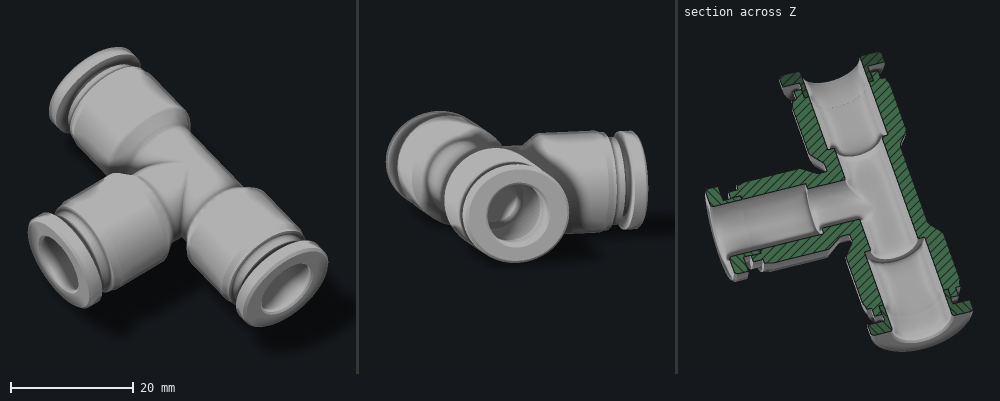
import cadquery as cq
import math

port_angles = (0, 180, -90)
port_reach = 26.7

stem_diameter = 13.0
body_diameter = 16.7
lip_diameter = 16.1
ring_diameter = 14.4
taper_start_reach = 8.0
taper_end_reach = 10.5
taper_blend = 1.0
ring_recess = 3.6
ring_end_reach = port_reach - ring_recess
ring_length = 1.65
lip_length = 0.5
lip_cone_length = 0.95
lip_end_reach = ring_end_reach - ring_length
lip_start_reach = lip_end_reach - lip_length
body_end_reach = lip_start_reach - lip_cone_length

flow_diameter = 8.0
tube_diameter = 10.2
tube_stop_reach = taper_end_reach

collar_length = 5.3
collar_bore = 10.15
neck_diameter = 11.7
flange_width = 17.5
flange_height = 16.1
flange_thickness = 2.35
flange_chamfer = 0.45
neck_root_fillet = 0.1
bore_chamfer = 0.3
flange_back_reach = port_reach - flange_thickness
collar_seat_reach = port_reach - collar_length


def cylinder(diameter, start, end):
    """Solid cylinder on the X axis between two distances from the tee centre."""
    return cq.Workplane("YZ").workplane(offset=start).circle(diameter / 2).extrude(end - start)


def point_along_port(shape, angle):
    """Turn a shape built along +X about the Z axis."""
    return shape.rotate((0, 0, 0), (0, 0, 1), angle)


def port_outside():
    """Turned outside of one port, from the tee centre to the end of the ring."""
    taper_angle = math.atan2((body_diameter - stem_diameter) / 2, taper_end_reach - taper_start_reach)
    tangent = taper_blend * math.tan(taper_angle / 2)
    along_taper = tangent * math.cos(taper_angle)
    across_taper = tangent * math.sin(taper_angle)
    stem_radius = stem_diameter / 2
    body_radius = body_diameter / 2
    return (
        cq.Workplane("XY")
        .lineTo(0, stem_radius)
        .lineTo(taper_start_reach - tangent, stem_radius)
        .tangentArcPoint((taper_start_reach + along_taper, stem_radius + across_taper), relative=False)
        .lineTo(taper_end_reach - along_taper, body_radius - across_taper)
        .tangentArcPoint((taper_end_reach + tangent, body_radius), relative=False)
        .lineTo(body_end_reach, body_radius)
        .lineTo(lip_start_reach, lip_diameter / 2)
        .lineTo(lip_end_reach, lip_diameter / 2)
        .lineTo(lip_end_reach, ring_diameter / 2)
        .lineTo(ring_end_reach, ring_diameter / 2)
        .lineTo(ring_end_reach, 0)
        .close()
        .revolve(360, (0, 0, 0), (1, 0, 0))
    )


def port_inside():
    """Flow passage, tube socket and collar seat of one port."""
    flow = cylinder(flow_diameter, 0, tube_stop_reach)
    tube_socket = cylinder(tube_diameter, tube_stop_reach, collar_seat_reach)
    collar_seat = cylinder(neck_diameter, collar_seat_reach, ring_end_reach)
    return flow.union(tube_socket).union(collar_seat)


def make_housing():
    """Tee housing: three joined ports, hollowed from each end."""
    outside = cq.Workplane("XY")
    inside = cq.Workplane("XY")
    for angle in port_angles:
        outside = outside.add(point_along_port(port_outside(), angle))
        inside = inside.add(point_along_port(port_inside(), angle))
    return outside.combine().cut(inside.combine())


def make_collar():
    """Release collar: elliptical flange and round neck with a through bore."""
    flange = (
        cq.Workplane("YZ")
        .workplane(offset=flange_back_reach)
        .ellipse(flange_width / 2, flange_height / 2)
        .extrude(flange_thickness)
        .faces(">X")
        .chamfer(flange_chamfer)
    )
    neck = cylinder(neck_diameter, collar_seat_reach, flange_back_reach)
    bore = cylinder(collar_bore, collar_seat_reach, port_reach)
    blank = flange.union(neck).edges("%CIRCLE").edges(">X").fillet(neck_root_fillet)
    return blank.cut(bore).faces(">X").edges("%CIRCLE").chamfer(bore_chamfer)


housing = make_housing()
collars = [point_along_port(make_collar(), angle) for angle in port_angles]

result = cq.Compound.makeCompound([housing.solids().val(), *[collar.solids().val() for collar in collars]])